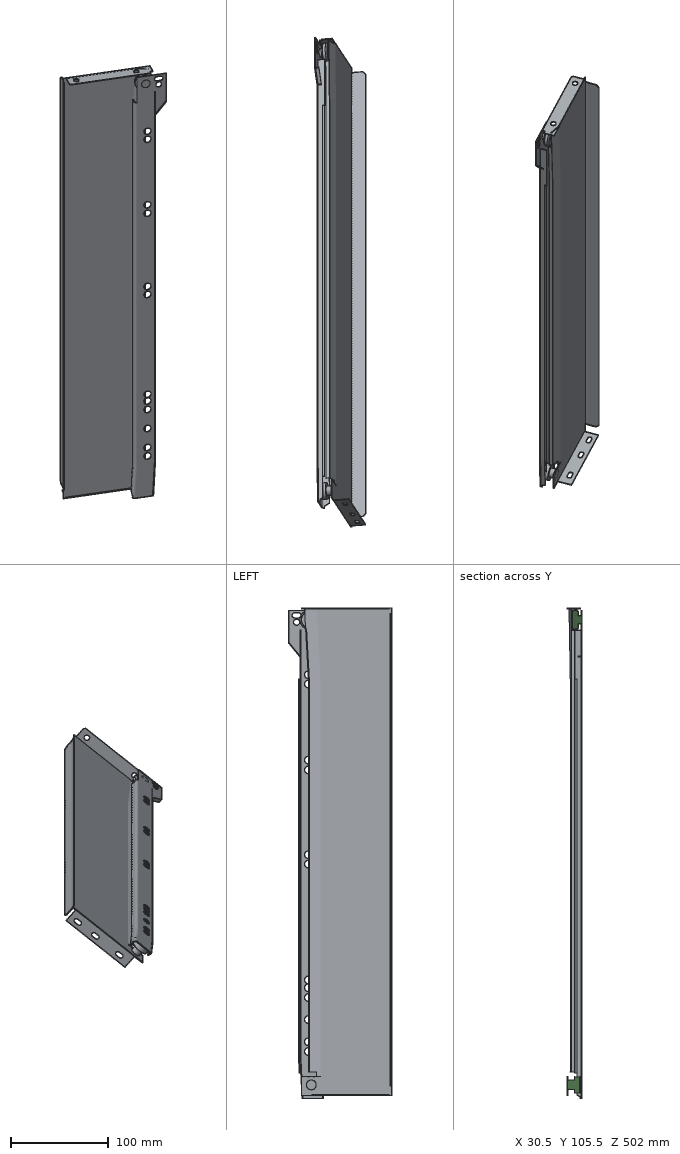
import cadquery as cq

total_height = 502.0
sheet = 1.0

panel_x = 15.0
panel_back = panel_x + sheet
panel_bottom = 3.0
panel_rear = 92.5
tab_top = 22.5
crease_z = 429.0

fold_start = 73.0
fold_end = 85.5
fold_depth = 4.0
fold_lean = 4.0
leg_end = 23.0
leg_bottom = 27.0
leg_top = 479.5
fold_notch_y = 77.0

lip_bottom = 13.0
lip_top = 496.5
lip_front = 1.0
lip_facet_start = 11.5
lip_chamfer = 3.0

flange_front = 3.0
bottom_flange_rear = 82.0
top_flange_end = 29.0
top_flange_chamfer = 1.5
top_notch_x = 26.0
top_notch_y = 89.5
top_hole_x = 22.0
top_hole_ys = [12.0, 76.0]
top_hole_diameter = 5.5
bottom_slot_x = 6.5
bottom_slot_ys = [13.0, 36.5, 69.0]
bottom_slot_length = 8.5
bottom_slot_width = 4.5
along_y = 90

side_roller_y = 82.5
side_roller_z = 14.0
side_roller_radius = 8.5
side_roller_start = 22.5
side_roller_end = 28.0
side_hub_radius = 5.0

rail_back = 30.5
rail_inner = rail_back - sheet
rail_low = 72.0
rail_high = 94.0
rail_open = 22.5
rail_bend = 2.5
rail_lean_z = 40.0
rail_lean = 2.0
lower_wall_top = 469.5
upper_wall_top = 479.5
lower_wall_bottom_open = 5.0
lower_wall_bottom_plate = 2.0

edge_start_x = 25.0
edge_tip_y = 95.5
edge_bottom = 26.0
edge_top = crease_z

screw_y = 85.5
screw_diameter = 7.5
screw_zs = [48.0, 58.0, 81.0, 103.5, 113.5, 121.5, 240.0, 249.5, 336.5, 346.5, 424.0, 433.5]

ear_top = 499.5
ear_tip_y = 105.5
ear_slope_top = 466.0
ear_slope_bottom = 452.0
ear_flange_x = 26.0
ear_hole_y = 97.5
ear_slot_z = 494.5
ear_slot_length = 9.0
ear_slot_width = 5.0
ear_hole_z = 487.5
ear_hole_diameter = 6.0

rail_roller_y = 84.0
rail_roller_z = 490.0
rail_roller_radius = 10.0
rail_roller_start = 20.5
rail_roller_end = 26.5
rail_roller_chamfer = 1.5
rail_pin_radius = 4.5


def block(x0, x1, y0, y1, z0, z1):
    """Box between two opposite corners."""
    return cq.Workplane("XY").box(x1 - x0, y1 - y0, z1 - z0, centered=False).translate((x0, y0, z0))


def x_cylinder(radius, x0, x1, y, z):
    """Cylinder along X from x0 to x1."""
    return cq.Workplane("YZ", origin=(x0, y, z)).circle(radius).extrude(x1 - x0)


def ruled_prism(bottom_points, z0, top_points, z1):
    """Straight-sided solid between two outlines with matching corners."""
    wires = [
        cq.Wire.makePolygon([cq.Vector(x, y, z) for x, y in points], close=True)
        for points, z in ((bottom_points, z0), (top_points, z1))
    ]
    return cq.Workplane(obj=cq.Solid.makeLoft(wires, True))


def fold_outline(lean):
    """Section of the flat panel with its slanted rear strip, moved rearward by lean."""
    start = fold_start + lean
    end = fold_end + lean
    return [
        (panel_x, 0),
        (panel_x, start),
        (panel_x + fold_depth, end),
        (panel_back + fold_depth, end),
        (panel_back, start),
        (panel_back, 0),
    ]


def leg_outline(lean):
    """Section of the short leg behind the slanted strip."""
    end = fold_end + lean
    leg_start = panel_x + fold_depth
    return [
        (leg_start, end - sheet),
        (leg_end, end - sheet),
        (leg_end, end),
        (leg_start, end),
    ]


def front_lip():
    """Lip toward -X whose slanted facet runs to the front edge of the panel."""
    lip = (
        cq.Workplane("XY", origin=(0, 0, lip_bottom))
        .polyline([
            (0, lip_front),
            (lip_facet_start, lip_front),
            (panel_back, 0),
            (panel_back, sheet),
            (lip_facet_start, lip_front + sheet),
            (0, lip_front + sheet),
        ])
        .close()
        .extrude(lip_top - lip_bottom)
    )
    return lip.edges("|Y and <X").chamfer(lip_chamfer)


def top_flange():
    flange = block(panel_x, top_flange_end, flange_front, panel_rear, total_height - sheet, total_height)
    flange = flange.edges("|Z and >X and <Y").chamfer(top_flange_chamfer)
    holes = (
        cq.Workplane("XY", origin=(0, 0, total_height - sheet))
        .pushPoints([(top_hole_x, y) for y in top_hole_ys])
        .circle(top_hole_diameter / 2)
        .extrude(sheet)
    )
    notch = block(top_notch_x, top_flange_end, top_notch_y, panel_rear, total_height - sheet, total_height)
    return flange.cut(holes).cut(notch)


def bottom_flange():
    flange = block(0, panel_back, flange_front, bottom_flange_rear, panel_bottom, panel_bottom + sheet)
    slots = (
        cq.Workplane("XY", origin=(0, 0, panel_bottom))
        .pushPoints([(bottom_slot_x, y) for y in bottom_slot_ys])
        .slot2D(bottom_slot_length, bottom_slot_width, along_y)
        .extrude(sheet)
    )
    return flange.cut(slots)


def folded_panel():
    """Flat panel and folded rear edge; the faces stay split at the crease."""
    lower = ruled_prism(fold_outline(0), tab_top, fold_outline(0), crease_z)
    upper = ruled_prism(fold_outline(0), crease_z, fold_outline(fold_lean), total_height)
    notch = block(panel_x, leg_end, fold_notch_y, panel_rear, tab_top, leg_bottom)
    leg_top_lean = fold_lean * (leg_top - crease_z) / (total_height - crease_z)
    lower_leg = ruled_prism(leg_outline(0), leg_bottom, leg_outline(0), crease_z)
    upper_leg = ruled_prism(leg_outline(0), crease_z, leg_outline(leg_top_lean), leg_top)
    tab = block(panel_x, panel_back, 0, panel_rear, panel_bottom, tab_top)
    panel = lower.cut(notch).union(tab)
    for piece in (upper, lower_leg, upper_leg):
        panel = panel.union(piece, clean=False)
    return panel


def side_roller():
    """Roller and hub on the back of the panel tab."""
    hub = x_cylinder(side_hub_radius, panel_back, side_roller_start, side_roller_y, side_roller_z)
    wheel = x_cylinder(side_roller_radius, side_roller_start, side_roller_end, side_roller_y, side_roller_z)
    return hub.union(wheel)


def make_drawer_side():
    side = folded_panel()
    for piece in (front_lip(), top_flange(), bottom_flange(), side_roller()):
        side = side.union(piece, clean=False)
    return side


def channel_section(z, lean):
    """Closed wire of the rail channel at height z, moved toward -Y by lean."""
    inner_bend = rail_bend - sheet
    bend_start = rail_back - rail_bend
    low = rail_low - lean
    high = rail_high - lean
    return (
        cq.Workplane("XY", origin=(0, 0, z))
        .moveTo(rail_open, low)
        .lineTo(bend_start, low)
        .radiusArc((rail_back, low + rail_bend), -rail_bend)
        .lineTo(rail_back, high)
        .lineTo(edge_start_x, high)
        .lineTo(edge_start_x, high - sheet)
        .lineTo(rail_inner, high - sheet)
        .lineTo(rail_inner, low + rail_bend)
        .radiusArc((bend_start, low + sheet), inner_bend)
        .lineTo(rail_open, low + sheet)
        .close()
        .wires()
        .val()
    )


def slanted_edge_outline(lean):
    """Section of the slanted edge on the upper channel wall."""
    high = rail_high - lean
    tip = edge_tip_y - lean
    return [
        (edge_start_x, high - sheet),
        (edge_start_x, high),
        (rail_open, tip),
        (rail_open, tip - sheet),
    ]


def channel():
    """Rail channel: straight above, leaning toward -Y at its lower end."""
    lower_end = channel_section(0, rail_lean)
    bend = channel_section(rail_lean_z, 0)
    upper_end = channel_section(lower_wall_top, 0)
    leaning = cq.Workplane(obj=cq.Solid.makeLoft([lower_end, bend], True))
    straight = cq.Workplane(obj=cq.Solid.makeLoft([bend, upper_end], True))
    end_cut = (
        cq.Workplane("XZ", origin=(0, rail_high, 0))
        .polyline([
            (rail_open, 0),
            (rail_back - rail_bend, 0),
            (rail_back - rail_bend, lower_wall_bottom_plate),
            (rail_open, lower_wall_bottom_open),
        ])
        .close()
        .extrude(rail_high - rail_low + rail_lean)
    )
    return straight.union(leaning.cut(end_cut))


def slanted_edge():
    bottom_lean = rail_lean * (rail_lean_z - edge_bottom) / rail_lean_z
    lower = ruled_prism(
        slanted_edge_outline(bottom_lean), edge_bottom, slanted_edge_outline(0), rail_lean_z)
    upper = ruled_prism(slanted_edge_outline(0), rail_lean_z, slanted_edge_outline(0), edge_top)
    return lower.union(upper)


def mounting_ear():
    """Upper plate with the ear, its slanted flange and its two openings."""
    plate = (
        cq.Workplane("YZ", origin=(rail_inner, 0, 0))
        .polyline([
            (rail_low + rail_bend, lower_wall_top),
            (rail_low + rail_bend, ear_top),
            (ear_tip_y, ear_top),
            (ear_tip_y, ear_slope_top),
            (rail_high, ear_slope_bottom),
            (rail_high, lower_wall_top),
        ])
        .close()
        .extrude(sheet)
    )
    flange = (
        cq.Workplane("YZ", origin=(ear_flange_x, 0, 0))
        .polyline([
            (rail_high, ear_slope_bottom),
            (ear_tip_y, ear_slope_top),
            (ear_tip_y, ear_slope_top + sheet),
            (rail_high, ear_slope_bottom + sheet),
        ])
        .close()
        .extrude(rail_back - ear_flange_x)
    )
    slot = (
        cq.Workplane("YZ", origin=(rail_inner, ear_hole_y, ear_slot_z))
        .slot2D(ear_slot_length, ear_slot_width)
        .extrude(sheet)
    )
    hole = x_cylinder(ear_hole_diameter / 2, rail_inner, rail_back, ear_hole_y, ear_hole_z)
    return plate.union(flange).cut(slot).cut(hole)


def rail_roller():
    """Roller on a pin that stands on the upper plate."""
    wheel = x_cylinder(
        rail_roller_radius, rail_roller_start, rail_roller_end, rail_roller_y, rail_roller_z)
    wheel = wheel.edges().chamfer(rail_roller_chamfer)
    pin = x_cylinder(rail_pin_radius, rail_roller_end, rail_inner, rail_roller_y, rail_roller_z)
    return wheel.union(pin)


def make_rail():
    rail = channel()
    wall_tail = block(rail_open, rail_inner, rail_high - sheet, rail_high, edge_top, upper_wall_top)
    for piece in (slanted_edge(), mounting_ear(), wall_tail, rail_roller()):
        rail = rail.union(piece)
    for z in screw_zs:
        rail = rail.cut(x_cylinder(screw_diameter / 2, rail_inner, rail_back, screw_y, z))
    return rail


drawer_side = make_drawer_side()
rail = make_rail()

result = cq.Compound.makeCompound([drawer_side.solids().val(), rail.solids().val()])